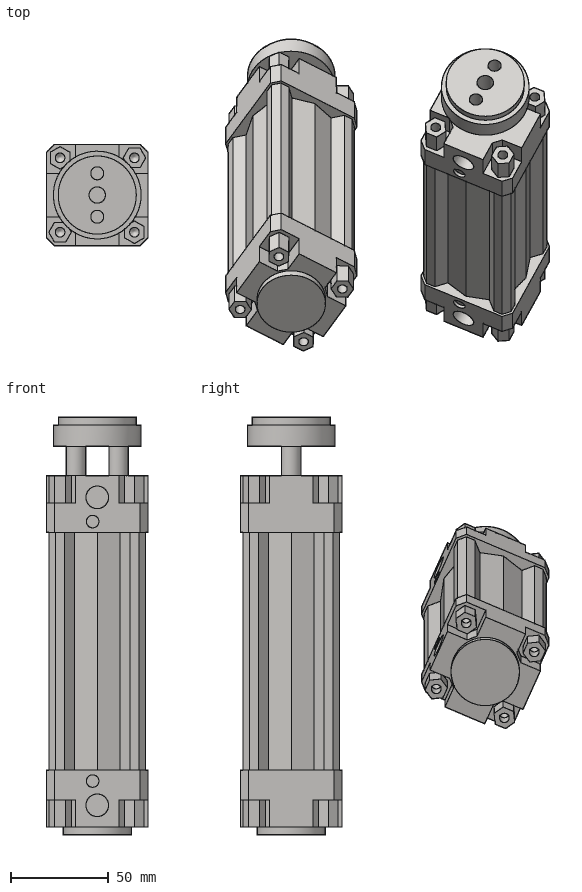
import cadquery as cq
import math

total_height = 214.0
boss_height = 4.0
head_height = 29.0
rod_length = 15.0
disc_height = 15.0
tube_length = total_height - boss_height - 2 * head_height - rod_length - disc_height

head_width = 52.0
head_chamfer = 4.0
pocket_height = 14.0
arm_half_width = 11.1
pocket_corner_chamfer = 3.9
boss_diameter = 35.0

bolt_offset = 19.0
hex_across_corners = 11.5
bolt_hole_diameter = 5.0
bolt_hole_depth = 9.6
drill_point_angle = 118.0

port_diameter = 11.5
port_depth = 11.5
port_setback = 11.1
screw_diameter = 6.5
screw_depth = 1.7
screw_setback = 23.5
screw_x = -2.4

tube_half_width = 24.8
tube_chamfer = 3.5
flute_outer_x = 16.7
flute_depth = 5.0
ridge_height = 3.2

disc_diameter = 45.0
disc_rim_height = 4.0
disc_raised_diameter = 40.0
rod_diameter = 10.0
rod_offset = 11.0
disc_center_hole = 8.3
disc_side_hole = 6.6
disc_side_hole_offset = 11.1

lower_head_z = boss_height
tube_z = lower_head_z + head_height
upper_head_z = tube_z + tube_length
head_top_z = upper_head_z + head_height
disc_z = head_top_z + rod_length


def cylinder(diameter, height, x, y, z):
    """Upright cylinder standing on level z."""
    return cq.Workplane("XY", origin=(x, y, z)).circle(diameter / 2).extrude(height)


def front_bore(diameter, depth, x, z):
    """Cutter for a flat-bottomed hole going into the -Y face of a head."""
    return cq.Workplane("XZ", origin=(x, -head_width / 2, z)).circle(diameter / 2).extrude(-depth)


def corner_pocket(sign_x, sign_y):
    """Cutter that opens one upper corner of a head, its inner corner cut off at 45 degrees."""
    inner = arm_half_width
    outer = head_width
    corner = [
        (inner + pocket_corner_chamfer, inner),
        (outer, inner),
        (outer, outer),
        (inner, outer),
        (inner, inner + pocket_corner_chamfer),
    ]
    points = [(sign_x * x, sign_y * y) for x, y in corner]
    floor_z = head_height - pocket_height
    return cq.Workplane("XY", origin=(0, 0, floor_z)).polyline(points).close().extrude(pocket_height)


def tie_bolt(sign_x, sign_y):
    """Hexagonal bolt end rising from a pocket floor to the head's outer face, with a drilled hole."""
    x = sign_x * bolt_offset
    y = sign_y * bolt_offset
    turn = 0 if sign_x == sign_y else 90
    bolt = (
        cq.Workplane("XY")
        .polygon(6, hex_across_corners)
        .extrude(pocket_height)
        .rotate((0, 0, 0), (0, 0, 1), turn)
        .translate((x, y, head_height - pocket_height))
    )
    hole_radius = bolt_hole_diameter / 2
    point_depth = hole_radius / math.tan(math.radians(drill_point_angle / 2))
    hole = (
        cq.Workplane("XZ")
        .polyline([
            (0, 0),
            (hole_radius, 0),
            (hole_radius, -bolt_hole_depth),
            (0, -bolt_hole_depth - point_depth),
        ])
        .close()
        .revolve(360, (0, 0), (0, 1))
        .translate((x, y, head_height))
    )
    return bolt.cut(hole)


def make_head():
    """End head with its tube side at z = 0 and its outer face up."""
    head = cq.Workplane("XY").rect(head_width, head_width).extrude(head_height)
    head = head.edges("|Z").chamfer(head_chamfer)
    for sign_x in (-1, 1):
        for sign_y in (-1, 1):
            head = head.cut(corner_pocket(sign_x, sign_y))
            head = head.union(tie_bolt(sign_x, sign_y))
    head = head.cut(front_bore(port_diameter, port_depth, 0, head_height - port_setback))
    return head.cut(front_bore(screw_diameter, screw_depth, screw_x, head_height - screw_setback))


def make_tube():
    """Tube whose four sides each carry a shallow ridge between two 45 degree flutes."""
    outer = tube_half_width
    flat_end = outer - tube_chamfer
    flute_x = flute_outer_x - flute_depth
    flute_y = outer - flute_depth
    side = [
        (-flat_end, outer),
        (-flute_outer_x, outer),
        (-flute_x, flute_y),
        (0, flute_y + ridge_height),
        (flute_x, flute_y),
        (flute_outer_x, outer),
        (flat_end, outer),
    ]
    points = []
    for _ in range(4):
        points += side
        side = [(y, -x) for x, y in side]
    return cq.Workplane("XY", origin=(0, 0, tube_z)).polyline(points).close().extrude(tube_length)


def make_housing():
    """Tube between two mirrored heads, with a round boss under the lower one."""
    head = make_head()
    upper_head = head.translate((0, 0, upper_head_z))
    lower_head = head.mirror("XY").translate((0, 0, tube_z))
    boss = cylinder(boss_diameter, boss_height, 0, 0, 0)
    return make_tube().union(upper_head).union(lower_head).union(boss)


def make_moving_plate():
    """Stepped disc with three through holes, carried by two rods that stand on the upper head."""
    rim_z = disc_z + disc_height - disc_rim_height
    plate = cylinder(disc_diameter, disc_height - disc_rim_height, 0, 0, disc_z)
    plate = plate.union(cylinder(disc_raised_diameter, disc_rim_height, 0, 0, rim_z))
    plate = plate.cut(cylinder(disc_center_hole, disc_height, 0, 0, disc_z))
    for sign in (-1, 1):
        plate = plate.cut(cylinder(disc_side_hole, disc_height, 0, sign * disc_side_hole_offset, disc_z))
        plate = plate.union(cylinder(rod_diameter, rod_length, sign * rod_offset, 0, head_top_z))
    return plate


housing = make_housing()
moving_plate = make_moving_plate()

result = cq.Compound.makeCompound([housing.val(), moving_plate.val()])